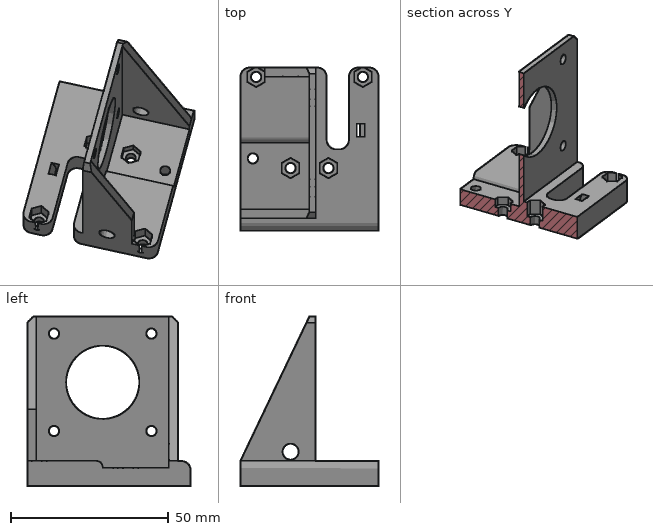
import cadquery as cq
import math

width = 44.0
length = 52.0
height = 54.0

base_height = 8.0
corner_radius = 3.0
front_round = 3.0

wall_thickness = 2.0
wall_back_x = 24.0
wall_inner_x = wall_back_x - wall_thickness
wall_front_y = 4.0
gusset_thickness = 2.9
top_chamfer = 2.0

motor_y = (wall_front_y + length) / 2
motor_z = 33.0
motor_bore = 23.2
motor_screw_spacing = 31.0
screw_diameter = 3.2

cross_hole_diameter = 5.0
cross_hole_x = 16.0
cross_hole_z = 10.9

step_depth = 2.2
step_round = 2.0
floor_z = base_height - step_depth
floor_front_y = wall_front_y + gusset_thickness
floor_back_y = 28.0

slot_left = 27.5
slot_width = 7.0
slot_end_y = 26.0

nut_corner_diameter = 6.5
nut_half_flats = nut_corner_diameter / 2 * math.cos(math.pi / 6)
nut_seat_z = 3.0
back_nut_inset_x = 5.0
back_nut_y = 49.0
front_nut_y = 20.0
front_nut_left_x = 16.0
front_nut_right_x = 28.0
nut_points = [
    (back_nut_inset_x, back_nut_y),
    (width - back_nut_inset_x, back_nut_y),
    (front_nut_left_x, front_nut_y),
    (front_nut_right_x, front_nut_y),
]
plain_hole = (4.0, 23.05)

tie_inner_radius = 6.0
tie_outer_radius = 8.0
tie_width = 4.0
tie_front_y = 30.0


def box(x_range, y_range, z_range):
    """Box spanning the given (low, high) ranges."""
    size = [high - low for low, high in (x_range, y_range, z_range)]
    corner = (x_range[0], y_range[0], z_range[0])
    return cq.Workplane("XY").box(*size, centered=False).translate(corner)


def make_base():
    base = box((0, width), (0, length), (0, base_height))
    base = base.faces("<Y").edges(">Z").fillet(front_round)
    slot = box((slot_left, slot_left + slot_width), (slot_end_y, length), (0, base_height))
    slot = slot.edges("|Z and <Y").fillet(corner_radius)
    return base.cut(slot).edges("|Z and >Y").fillet(corner_radius)


def make_gusset(front_y):
    profile = cq.Workplane("XZ", origin=(0, front_y + gusset_thickness, 0)).polyline([
        (0, 0),
        (0, base_height),
        (wall_inner_x, height),
        (wall_back_x, height),
        (wall_back_x, 0),
    ])
    gusset = profile.close().extrude(gusset_thickness)
    return gusset.cut(box((0, wall_back_x), (0, length), (0, base_height)))


def make_bracket():
    wall = box((wall_inner_x, wall_back_x), (wall_front_y, length), (base_height, height))
    back_gusset_y = length - gusset_thickness
    nut_clearance = box(
        (0, back_nut_inset_x + nut_half_flats), (back_gusset_y, length), (base_height, height)
    )
    back_gusset = make_gusset(back_gusset_y).cut(nut_clearance)
    bracket = wall.union(make_gusset(wall_front_y)).union(back_gusset)
    outline = cq.Workplane("YZ").polyline([
        (wall_front_y, base_height),
        (wall_front_y, height - top_chamfer),
        (wall_front_y + top_chamfer, height),
        (length - top_chamfer, height),
        (length, height - top_chamfer),
        (length, base_height),
    ])
    return bracket.intersect(outline.close().extrude(wall_back_x))


def make_floor_recess():
    recess = box((0, wall_inner_x), (floor_front_y, floor_back_y), (floor_z, base_height))
    rounded_strip = box(
        (0, wall_inner_x),
        (floor_back_y, floor_back_y + step_round),
        (base_height - step_round, base_height),
    )
    step_edge = (
        cq.Workplane("YZ", origin=(0, floor_back_y + step_round, base_height - step_round))
        .circle(step_round)
        .extrude(wall_inner_x)
    )
    return recess.union(rounded_strip.cut(step_edge))


def make_motor_holes():
    plane = cq.Workplane("YZ", origin=(wall_inner_x, motor_y, motor_z))
    bore = plane.circle(motor_bore / 2).extrude(wall_thickness)
    screws = (
        plane.rect(motor_screw_spacing, motor_screw_spacing, forConstruction=True)
        .vertices()
        .circle(screw_diameter / 2)
        .extrude(wall_thickness)
    )
    return bore.union(screws)


def make_cross_hole():
    plane = cq.Workplane("XZ", origin=(cross_hole_x, 0, cross_hole_z))
    return plane.circle(cross_hole_diameter / 2).extrude(-length)


def make_base_holes():
    points = nut_points + [plain_hole]
    return cq.Workplane("XY").pushPoints(points).circle(screw_diameter / 2).extrude(base_height)


def make_nut_pocket(x, y):
    hexagon = cq.Workplane("XY").polygon(6, nut_corner_diameter).extrude(base_height - nut_seat_z)
    return hexagon.rotate((0, 0, 0), (0, 0, 1), 90).translate((x, y, nut_seat_z))


def make_tie_channel():
    plane = cq.Workplane("XZ", origin=(width, tie_front_y, base_height / 2))
    return plane.circle(tie_outer_radius).circle(tie_inner_radius).extrude(-tie_width)


result = make_base().union(make_bracket())
result = result.cut(make_floor_recess())

result = result.cut(make_motor_holes()).cut(make_cross_hole())
result = result.cut(make_base_holes()).cut(make_tie_channel())
for nut_x, nut_y in nut_points:
    result = result.cut(make_nut_pocket(nut_x, nut_y))